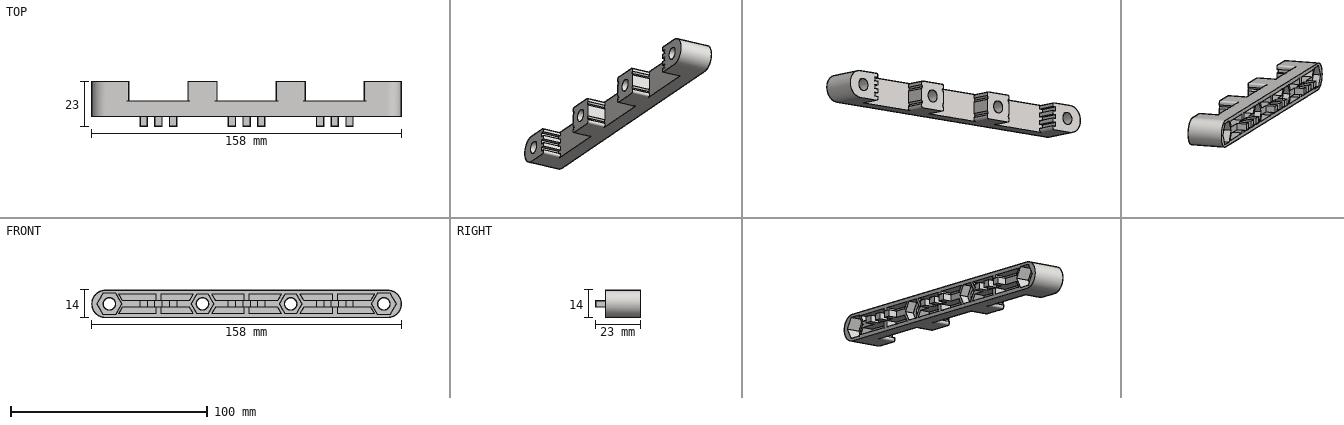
import cadquery as cq
import math

LENGTH = 158.0
HEIGHT = 14.0
BAR_THICKNESS = 8.0

TOWER_HEIGHT = 10.0
TOTAL_THICKNESS = BAR_THICKNESS + TOWER_HEIGHT
GAP_PITCH = 45.0
GAP_WIDTH = 30.0
GAP_CENTERS = (-GAP_PITCH, 0.0, GAP_PITCH)
TOWER_EDGE_RADIUS = 1.0

COMB_TEETH = 4
TOOTH_HEIGHT = HEIGHT / (2 * COMB_TEETH - 1)
SLOT_DEPTH = 2.0

VEE_HEIGHT = TOOTH_HEIGHT
VEE_OFFSET = 2 * TOOTH_HEIGHT
VEE_DEPTH = VEE_HEIGHT / 2 * math.tan(math.radians(30))

HOLE_DIAMETER = 6.2
END_HOLE_X = 70.0
INNER_HOLE_X = GAP_PITCH / 2
HOLE_POSITIONS = (-END_HOLE_X, -INNER_HOLE_X, INNER_HOLE_X, END_HOLE_X)
END_NUT_FLATS = 11.0
END_NUT_DEPTH = 7.5
INNER_NUT_FLATS = 10.0
INNER_NUT_DEPTH = 5.0

POCKET_WALL = 2.0
POCKET_TOP = HEIGHT / 2 - POCKET_WALL
POCKET_DEPTH = 6.0
RAIL_HEIGHT = 10.0 / 3
RIB_WIDTH = 2.5
NUT_COLLAR_FLATS = 13.2

PINS_PER_GROUP = 3
PIN_LENGTH = 5.0
PIN_WIDTH = 3.75
PIN_PITCH = 2 * PIN_WIDTH


def hex_corner(flats):
    """Centre-to-corner distance of a regular hexagon."""
    return flats / 2 / math.cos(math.radians(30))


def front_sketch(x=0.0, z=0.0):
    return cq.Workplane("XZ").center(x, z)


def extrude_back(sketch, start, depth):
    """Extrude an XZ sketch from Y = start toward +Y."""
    return sketch.extrude(-depth).translate((0, start, 0))


def gap_walls():
    """X position of every gap wall, with the X direction into its tower."""
    return [(gap_x + side * GAP_WIDTH / 2, side) for gap_x in GAP_CENTERS for side in (-1, 1)]


def make_body():
    body = extrude_back(front_sketch().slot2D(LENGTH, HEIGHT), 0, TOTAL_THICKNESS)
    for gap_x in GAP_CENTERS:
        gap_outline = front_sketch(gap_x).rect(GAP_WIDTH, HEIGHT)
        body = body.cut(extrude_back(gap_outline, BAR_THICKNESS, TOWER_HEIGHT))
    return body


def round_tower_edges(body):
    """Round the top and bottom edges of the gap walls."""
    mid_y = BAR_THICKNESS + TOWER_HEIGHT / 2
    edges = []
    for wall_x, _ in gap_walls():
        for edge_z in (-HEIGHT / 2, HEIGHT / 2):
            nearest = cq.selectors.NearestToPointSelector((wall_x, mid_y, edge_z))
            edges += body.edges(nearest).vals()
    return body.newObject(edges).fillet(TOWER_EDGE_RADIUS)


def cut_comb(body, wall_x):
    slot_pitch = 2 * TOOTH_HEIGHT
    slot_count = COMB_TEETH - 1
    for index in range(slot_count):
        slot_z = (index - (slot_count - 1) / 2) * slot_pitch
        slot = front_sketch(wall_x, slot_z).rect(2 * SLOT_DEPTH, TOOTH_HEIGHT)
        body = body.cut(extrude_back(slot, BAR_THICKNESS, TOWER_HEIGHT))
    return body


def cut_vee_grooves(body, wall_x, into_tower):
    for groove_z in (-VEE_OFFSET, VEE_OFFSET):
        vee_points = [
            (0, VEE_HEIGHT / 2),
            (into_tower * VEE_DEPTH, 0),
            (0, -VEE_HEIGHT / 2),
        ]
        vee = front_sketch(wall_x, groove_z).polyline(vee_points).close()
        body = body.cut(extrude_back(vee, BAR_THICKNESS, TOWER_HEIGHT))
    return body


def cut_wall_grooves(body):
    for wall_x, into_tower in gap_walls():
        if abs(wall_x) > GAP_PITCH:
            body = cut_comb(body, wall_x)
        else:
            body = cut_vee_grooves(body, wall_x, into_tower)
    return body


def cut_bolt_holes(body):
    for hole_x in HOLE_POSITIONS:
        if abs(hole_x) == END_HOLE_X:
            flats, depth = END_NUT_FLATS, END_NUT_DEPTH
        else:
            flats, depth = INNER_NUT_FLATS, INNER_NUT_DEPTH
        hole = front_sketch(hole_x).circle(HOLE_DIAMETER / 2)
        nut = front_sketch(hole_x).polygon(6, 2 * hex_corner(flats))
        body = body.cut(extrude_back(hole, 0, TOTAL_THICKNESS))
        body = body.cut(extrude_back(nut, 0, depth))
    return body


def pocket(rib_x, hole_x, direction, z_sign):
    """Pocket from a cross rib to the hexagonal collar around a hole.

    direction points along X from the hole toward the rib.
    """
    def collar_x(z):
        return hole_x + direction * (hex_corner(NUT_COLLAR_FLATS) - z * math.tan(math.radians(30)))

    inner_z = RAIL_HEIGHT / 2
    outline = [
        (rib_x, z_sign * inner_z),
        (collar_x(inner_z), z_sign * inner_z),
        (collar_x(POCKET_TOP), z_sign * POCKET_TOP),
        (rib_x, z_sign * POCKET_TOP),
    ]
    return extrude_back(front_sketch().polyline(outline).close(), 0, POCKET_DEPTH)


def cut_pockets(body):
    for gap_x, left_hole, right_hole in zip(GAP_CENTERS, HOLE_POSITIONS, HOLE_POSITIONS[1:]):
        for hole_x, direction in ((left_hole, 1), (right_hole, -1)):
            rib_x = gap_x - direction * RIB_WIDTH / 2
            for z_sign in (-1, 1):
                body = body.cut(pocket(rib_x, hole_x, direction, z_sign))
    return body


def add_pins(body):
    """Pins run through the rail down to the pocket floor so they join it solidly."""
    for gap_x in GAP_CENTERS:
        for index in range(PINS_PER_GROUP):
            pin_x = gap_x + (index - (PINS_PER_GROUP - 1) / 2) * PIN_PITCH
            pin = front_sketch(pin_x).rect(PIN_WIDTH, RAIL_HEIGHT)
            body = body.union(extrude_back(pin, -PIN_LENGTH, PIN_LENGTH + POCKET_DEPTH))
    return body


result = make_body()
result = round_tower_edges(result)
result = cut_wall_grooves(result)
result = cut_bolt_holes(result)
result = cut_pockets(result)
result = add_pins(result)